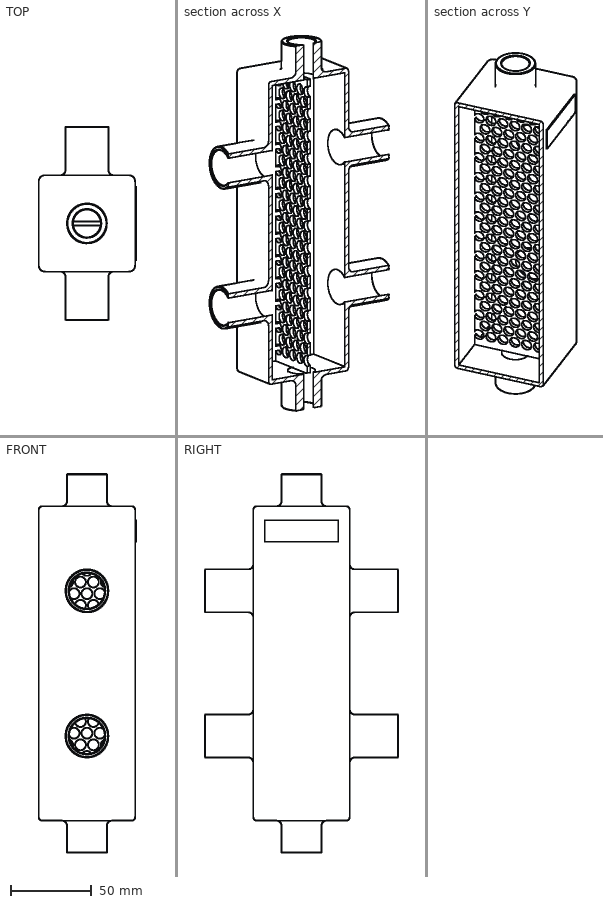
import cadquery as cq

body_side = 60.0
body_height = 195.0
corner_radius = 4.0
end_edge_radius = 2.4
wall = 3.0
cavity_side = body_side - 2 * wall
cavity_height = body_height - 2 * wall

stub_length = 235.0
stub_diameter = 25.0
stub_bore = 17.2

pipe_length = 120.0
pipe_diameter = 26.8
pipe_bore = 22.0
pipe_spacing = 90.0
pipe_levels = (-pipe_spacing / 2, pipe_spacing / 2)

root_radius = 3.0

rim_chamfer = 0.5

baffle_thickness = 2.5
hole_diameter = 6.5
column_pitch = 8.0
holes_in_wide_row = 7
row_gaps = 24
rows_height = 173.0
row_pitch = rows_height / row_gaps

nameplate_raise = 0.7
nameplate_width = 45.5
nameplate_height = 13.5
nameplate_level = 82.0

tolerance = 0.02


def make_housing():
    housing = cq.Workplane("XY").box(body_side, body_side, body_height)
    housing = housing.edges("|Z").fillet(corner_radius)
    return housing.faces("<Z or >Z").edges().fillet(end_edge_radius)


def rod_along_z(diameter, length):
    return cq.Workplane("XY").circle(diameter / 2).extrude(length / 2, both=True)


def rod_along_y(diameter, length, level):
    rod = cq.Workplane("XZ").circle(diameter / 2).extrude(length / 2, both=True)
    return rod.translate((0, 0, level))


def add_end_stubs(body):
    body = body.union(rod_along_z(stub_diameter, stub_length))

    def is_root(edge):
        on_end_face = abs(abs(edge.Center().z) - body_height / 2) < tolerance
        return on_end_face and abs(edge.radius() - stub_diameter / 2) < tolerance

    return body.edges("%CIRCLE").filter(is_root).fillet(root_radius)


def add_side_pipes(body):
    for level in pipe_levels:
        body = body.union(rod_along_y(pipe_diameter, pipe_length, level))

    def is_root(edge):
        on_side_face = abs(abs(edge.Center().y) - body_side / 2) < tolerance
        return on_side_face and abs(edge.radius() - pipe_diameter / 2) < tolerance

    return body.edges("%CIRCLE").filter(is_root).fillet(root_radius)


def add_nameplate(body):
    depth = nameplate_raise + wall / 2
    plate = cq.Workplane("XY").box(depth, nameplate_width, nameplate_height)
    outer_face = body_side / 2 + nameplate_raise
    return body.union(plate.translate((outer_face - depth / 2, 0, nameplate_level)))


def hollow_out(body):
    body = body.cut(cq.Workplane("XY").box(cavity_side, cavity_side, cavity_height))
    body = body.cut(rod_along_z(stub_bore, stub_length))
    for level in pipe_levels:
        body = body.cut(rod_along_y(pipe_bore, pipe_length, level))
    return body


def make_baffle():
    centres = []
    for row in range(row_gaps + 1):
        hole_count = holes_in_wide_row - row % 2
        z = row * row_pitch - rows_height / 2
        for column in range(hole_count):
            x = (column - (hole_count - 1) / 2) * column_pitch
            centres.append((x, z))
    holes = cq.Workplane("XZ").pushPoints(centres).circle(hole_diameter / 2)
    baffle = cq.Workplane("XY").box(cavity_side, baffle_thickness, cavity_height)
    return baffle.cut(holes.extrude(baffle_thickness, both=True))


result = add_end_stubs(make_housing())
result = add_side_pipes(result)
result = add_nameplate(result)
result = hollow_out(result)
result = result.faces("<Z or >Z or <Y or >Y").edges().chamfer(rim_chamfer)
result = result.union(make_baffle())